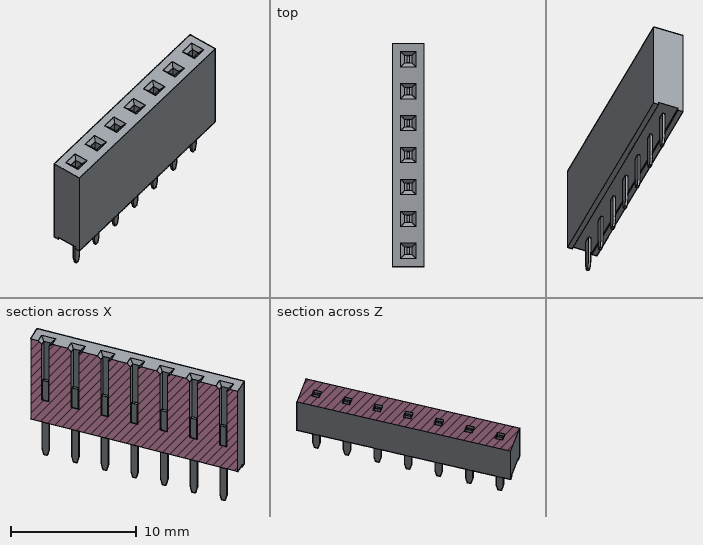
import cadquery as cq

body_width = 2.55
body_length = 17.78
overall_height = 11.6
pin_length_below_feet = 3.1
contact_count = 7
pitch = body_length / contact_count
body_height = overall_height - pin_length_below_feet

foot_width = 0.43
foot_height = 0.21

mouth_size = 1.21
hole_size = 0.6
funnel_depth = (mouth_size - hole_size) / 2
socket_depth = 6.0

pin_thickness = 0.2
pin_width = 0.59
tip_width = 0.3
tip_length = 0.57
blade_width = 0.5
blade_height = 2.0

body_top = body_height
funnel_bottom = body_top - funnel_depth
socket_floor = body_top - socket_depth
pin_bottom = -pin_length_below_feet
blade_top = socket_floor + blade_height


def make_body():
    """Rectangular housing with a full-length channel along its underside."""
    block = cq.Workplane("XY").box(body_width, body_length, body_height, centered=(True, True, False))
    channel = cq.Workplane("XY").box(
        body_width - 2 * foot_width, body_length, foot_height, centered=(True, True, False)
    )
    return block.cut(channel)


def make_socket(y):
    """Square blind hole with a funnel mouth."""
    funnel = (
        cq.Workplane("XY", origin=(0, y, funnel_bottom))
        .rect(hole_size, hole_size)
        .workplane(offset=funnel_depth)
        .rect(mouth_size, mouth_size)
        .loft(ruled=True)
    )
    hole = (
        cq.Workplane("XY", origin=(0, y, socket_floor))
        .rect(hole_size, hole_size)
        .extrude(funnel_bottom - socket_floor)
    )
    return hole.union(funnel)


def make_pin(y):
    """Flat pin with a tapered tip and a narrower blade standing in the socket."""
    right_side = [
        (tip_width / 2, pin_bottom),
        (pin_width / 2, pin_bottom + tip_length),
        (pin_width / 2, socket_floor),
        (blade_width / 2, socket_floor),
        (blade_width / 2, blade_top),
    ]
    left_side = [(-across, height) for across, height in reversed(right_side)]
    return (
        cq.Workplane("YZ", origin=(0, y, 0))
        .polyline(right_side + left_side)
        .close()
        .extrude(pin_thickness / 2, both=True)
    )


result = make_body()
for index in range(contact_count):
    contact_y = (index - (contact_count - 1) / 2) * pitch
    result = result.cut(make_socket(contact_y)).union(make_pin(contact_y))